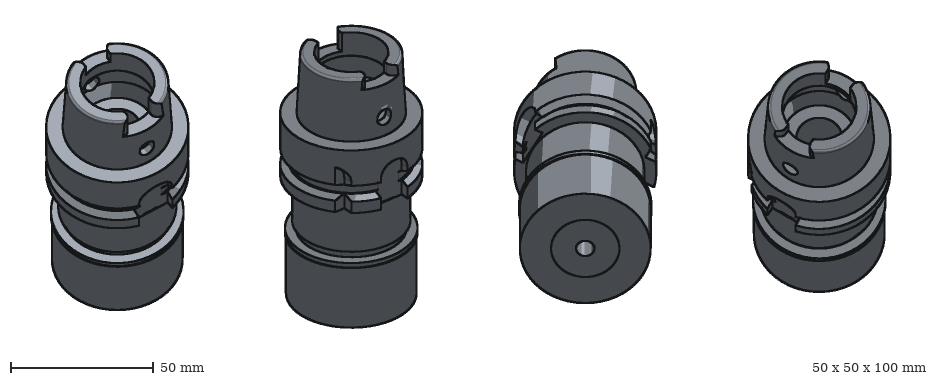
import cadquery as cq
import math

TOTAL_HEIGHT = 100.0
FLANGE_TOP = 75.0
FLANGE_BOTTOM = 49.0
BODY_BOTTOM = 30.2
NUT_TOP = 27.1
NUT_COLLAR_BOTTOM = 25.0

TAPER_BASE_RADIUS = 19.2
TAPER_RATE = 0.05
TAPER_TOP_RADIUS = TAPER_BASE_RADIUS - TAPER_RATE * (TOTAL_HEIGHT - FLANGE_TOP)
TAPER_RIM_FILLET = 1.0
CROSS_HOLE_DIAMETER = 6.1
CROSS_HOLE_Z = 82.4

DRIVE_SLOT_WIDTH = 10.4
DRIVE_SLOT_END_X = 16.2
DRIVE_SLOT_FLARE_RADIUS = 2.9
DRIVE_SLOT_DEPTH_LEFT = 4.5
DRIVE_SLOT_DEPTH_RIGHT = 7.7

FLANGE_RADIUS = 25.0
GROOVE_RADIUS = 21.5
GROOVE_CENTRE_Z = 57.0
GROOVE_LEDGE_RADIUS = 22.1
GROOVE_FLOOR_WIDTH = 3.7
GROOVE_MOUTH_WIDTH = 6.6

NOTCH_TOP = 67.8
NOTCH_FLOOR_X = 21.0
LEFT_NOTCH_WIDTH = 11.8
RIGHT_NOTCH_WIDTH = 14.2
SIDE_NOTCH_WIDTH = 11.8
SIDE_NOTCH_FLOOR_X = 15.6
SIDE_NOTCH_INNER_Y = 15.5

BODY_RADIUS = 20.8
NECK_RADIUS = 19.5

MOUTH_RADIUS = 13.0
MOUTH_DEPTH = 9.8
UNDERCUT_RADIUS = 16.0
CLAMP_ANGLE = 30.0
UNDERCUT_BOTTOM = 80.0
CAVITY_FLOOR = 74.8
CORE_BORE_RADIUS = 8.1

NUT_RADIUS = 23.0
NUT_COLLAR_RADIUS = 23.3
NUT_FLOOR = 8.0

COLLET_RADIUS = 12.0
COLLET_TOP = 40.0
COLLET_BORE_RADIUS = 3.2


def revolved(profile):
    """Solid of revolution about Z from (radius, height) points, drawn on the -Y side."""
    points = [(-radius, height) for radius, height in profile]
    return cq.Workplane("YZ").polyline(points).close().revolve(360, (0, 0), (0, 1))


def cylinder(radius, bottom, top):
    return revolved([(0, bottom), (radius, bottom), (radius, top), (0, top)])


def holder_blank():
    half_floor = GROOVE_FLOOR_WIDTH / 2
    half_mouth = GROOVE_MOUTH_WIDTH / 2
    blank = revolved([
        (0, NUT_FLOOR),
        (NECK_RADIUS, NUT_FLOOR),
        (NECK_RADIUS, BODY_BOTTOM),
        (BODY_RADIUS, BODY_BOTTOM),
        (BODY_RADIUS, FLANGE_BOTTOM),
        (FLANGE_RADIUS, FLANGE_BOTTOM),
        (FLANGE_RADIUS, GROOVE_CENTRE_Z - half_mouth),
        (GROOVE_LEDGE_RADIUS, GROOVE_CENTRE_Z - half_floor),
        (GROOVE_RADIUS, GROOVE_CENTRE_Z - half_floor),
        (GROOVE_RADIUS, GROOVE_CENTRE_Z + half_floor),
        (GROOVE_LEDGE_RADIUS, GROOVE_CENTRE_Z + half_floor),
        (FLANGE_RADIUS, GROOVE_CENTRE_Z + half_mouth),
        (FLANGE_RADIUS, FLANGE_TOP),
        (TAPER_BASE_RADIUS, FLANGE_TOP),
        (TAPER_TOP_RADIUS, TOTAL_HEIGHT),
        (0, TOTAL_HEIGHT),
    ])
    return blank.faces(">Z").edges().fillet(TAPER_RIM_FILLET)


def clamping_cavity():
    """Mouth, conical clamping shoulder, undercut and core bore, as one revolved tool."""
    mouth_bottom = TOTAL_HEIGHT - MOUTH_DEPTH
    shoulder_height = (UNDERCUT_RADIUS - MOUTH_RADIUS) * math.tan(math.radians(CLAMP_ANGLE))
    return revolved([
        (0, COLLET_TOP),
        (CORE_BORE_RADIUS, COLLET_TOP),
        (CORE_BORE_RADIUS, CAVITY_FLOOR),
        (MOUTH_RADIUS, CAVITY_FLOOR),
        (UNDERCUT_RADIUS, UNDERCUT_BOTTOM),
        (UNDERCUT_RADIUS, mouth_bottom - shoulder_height),
        (MOUTH_RADIUS, mouth_bottom),
        (MOUTH_RADIUS, TOTAL_HEIGHT),
        (0, TOTAL_HEIGHT),
    ])


def drive_slot(side, depth):
    """Slot from the axis out to one side (+1 or -1 along X), flaring at its outer end."""
    half_width = DRIVE_SLOT_WIDTH / 2
    flare = DRIVE_SLOT_FLARE_RADIUS
    straight_end = DRIVE_SLOT_END_X - flare
    flare_x = straight_end + flare * math.sin(math.pi / 4)
    flare_y = half_width + flare * (1 - math.cos(math.pi / 4))
    flare_end_y = half_width + flare
    return (
        cq.Workplane("XY").workplane(offset=TOTAL_HEIGHT - depth)
        .moveTo(0, -half_width)
        .lineTo(side * straight_end, -half_width)
        .threePointArc((side * flare_x, -flare_y), (side * DRIVE_SLOT_END_X, -flare_end_y))
        .lineTo(side * DRIVE_SLOT_END_X, -FLANGE_RADIUS)
        .lineTo(side * FLANGE_RADIUS, -FLANGE_RADIUS)
        .lineTo(side * FLANGE_RADIUS, FLANGE_RADIUS)
        .lineTo(side * DRIVE_SLOT_END_X, FLANGE_RADIUS)
        .lineTo(side * DRIVE_SLOT_END_X, flare_end_y)
        .threePointArc((side * flare_x, flare_y), (side * straight_end, half_width))
        .lineTo(0, half_width)
        .close()
        .extrude(depth)
    )


def flange_notch(side, floor_x, centre_y, width):
    """Notch cut along X from one side (+1 or -1) to a flat floor, with a round upper end."""
    radius = width / 2
    arc_z = NOTCH_TOP - radius
    depth = FLANGE_RADIUS - floor_x
    return (
        cq.Workplane("YZ").workplane(offset=side * floor_x)
        .moveTo(centre_y - radius, FLANGE_BOTTOM)
        .lineTo(centre_y - radius, arc_z)
        .threePointArc((centre_y, NOTCH_TOP), (centre_y + radius, arc_z))
        .lineTo(centre_y + radius, FLANGE_BOTTOM)
        .close()
        .extrude(side * depth)
    )


def cross_hole():
    return (
        cq.Workplane("YZ").workplane(offset=-FLANGE_RADIUS)
        .center(0, CROSS_HOLE_Z)
        .circle(CROSS_HOLE_DIAMETER / 2)
        .extrude(2 * FLANGE_RADIUS)
    )


def make_holder():
    side_notch_y = SIDE_NOTCH_INNER_Y + SIDE_NOTCH_WIDTH / 2
    return (
        holder_blank()
        .cut(clamping_cavity())
        .cut(drive_slot(-1, DRIVE_SLOT_DEPTH_LEFT))
        .cut(drive_slot(1, DRIVE_SLOT_DEPTH_RIGHT))
        .cut(flange_notch(-1, NOTCH_FLOOR_X, 0, LEFT_NOTCH_WIDTH))
        .cut(flange_notch(1, NOTCH_FLOOR_X, 0, RIGHT_NOTCH_WIDTH))
        .cut(flange_notch(-1, SIDE_NOTCH_FLOOR_X, side_notch_y, SIDE_NOTCH_WIDTH))
        .cut(cross_hole())
        .cut(cylinder(COLLET_RADIUS, NUT_FLOOR, COLLET_TOP))
    )


def make_nut():
    """Nut with a collar at its top, a recess for the holder spigot and a hole for the collet."""
    return (
        cylinder(NUT_RADIUS, 0, NUT_TOP)
        .union(cylinder(NUT_COLLAR_RADIUS, NUT_COLLAR_BOTTOM, NUT_TOP))
        .cut(cylinder(NECK_RADIUS, NUT_FLOOR, NUT_TOP))
        .cut(cylinder(COLLET_RADIUS, 0, NUT_FLOOR))
    )


def make_collet():
    return cylinder(COLLET_RADIUS, 0, COLLET_TOP).cut(cylinder(COLLET_BORE_RADIUS, 0, COLLET_TOP))


holder = make_holder()
nut = make_nut()
collet = make_collet()

result = cq.Compound.makeCompound([holder.val(), nut.val(), collet.val()])